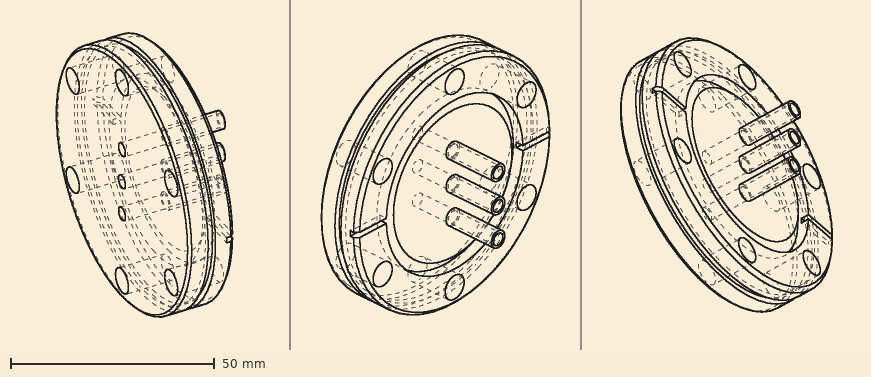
import cadquery as cq
import math

flange_diameter = 69.34
flange_thickness = 12.7
front_chamfer = 0.74
back_chamfer = 1.07

rim_groove_diameter = 66.29
rim_groove_front = 5.33
rim_groove_width = 2.03

seal_recess_diameter = 48.31
knife_edge_diameter = 41.91
knife_edge_depth = 0.64
knife_slope_angle = 40.0

leak_slot_width = 1.5
leak_slot_depth = 2.2

bolt_count = 6
bolt_hole_diameter = 6.73
bolt_circle_diameter = 58.72
first_bolt_angle = 90.0

overall_length = 27.51
tube_count = 3
tube_spacing = 9.525
tube_outer_diameter = 4.76
tube_bore_diameter = 3.34
flange_bore_diameter = 3.56

flange_radius = flange_diameter / 2
rim_groove_radius = rim_groove_diameter / 2
rim_groove_back = rim_groove_front + rim_groove_width
seal_recess_radius = seal_recess_diameter / 2
knife_edge_radius = knife_edge_diameter / 2
knife_edge_y = flange_thickness - knife_edge_depth
knife_slope_run = seal_recess_radius - knife_edge_radius
seal_floor_y = knife_edge_y - knife_slope_run * math.tan(math.radians(knife_slope_angle))
tube_heights = [(i - (tube_count - 1) / 2) * tube_spacing for i in range(tube_count)]


def make_flange():
    """Revolve the half section, given as (radius, Y), about the Y axis."""
    section = [
        (0, 0),
        (flange_radius - front_chamfer, 0),
        (flange_radius, front_chamfer),
        (flange_radius, rim_groove_front),
        (rim_groove_radius, rim_groove_front),
        (rim_groove_radius, rim_groove_back),
        (flange_radius, rim_groove_back),
        (flange_radius, flange_thickness - back_chamfer),
        (flange_radius - back_chamfer, flange_thickness),
        (seal_recess_radius, flange_thickness),
        (seal_recess_radius, seal_floor_y),
        (knife_edge_radius, knife_edge_y),
        (0, knife_edge_y),
    ]
    return cq.Workplane("XY").polyline(section).close().revolve(360, (0, 0, 0), (0, 1, 0))


def make_rod(diameter, x, z, y_start, y_end):
    """Cylinder parallel to the Y axis."""
    length = y_end - y_start
    axis = cq.Vector(0, 1, 0)
    return cq.Workplane(cq.Solid.makeCylinder(diameter / 2, length, cq.Vector(x, y_start, z), axis))


def cut_bolt_holes(body):
    for i in range(bolt_count):
        angle = math.radians(first_bolt_angle + i * 360 / bolt_count)
        x = bolt_circle_diameter / 2 * math.cos(angle)
        z = bolt_circle_diameter / 2 * math.sin(angle)
        body = body.cut(make_rod(bolt_hole_diameter, x, z, 0, flange_thickness))
    return body


def cut_leak_slots(body):
    """Two opposite radial slots, each running from the rim into the seal recess."""
    slot_bar = cq.Workplane("XY").box(flange_diameter, leak_slot_depth, leak_slot_width)
    slot_bar = slot_bar.translate((0, flange_thickness - leak_slot_depth / 2, 0))
    seal_core = make_rod(seal_recess_diameter, 0, 0, 0, flange_thickness)
    return body.cut(slot_bar.cut(seal_core))


def add_tubes(body):
    for z in tube_heights:
        body = body.union(make_rod(tube_outer_diameter, 0, z, knife_edge_y, overall_length))
    for z in tube_heights:
        body = body.cut(make_rod(flange_bore_diameter, 0, z, 0, knife_edge_y))
        body = body.cut(make_rod(tube_bore_diameter, 0, z, knife_edge_y, overall_length))
    return body


result = add_tubes(cut_leak_slots(cut_bolt_holes(make_flange())))